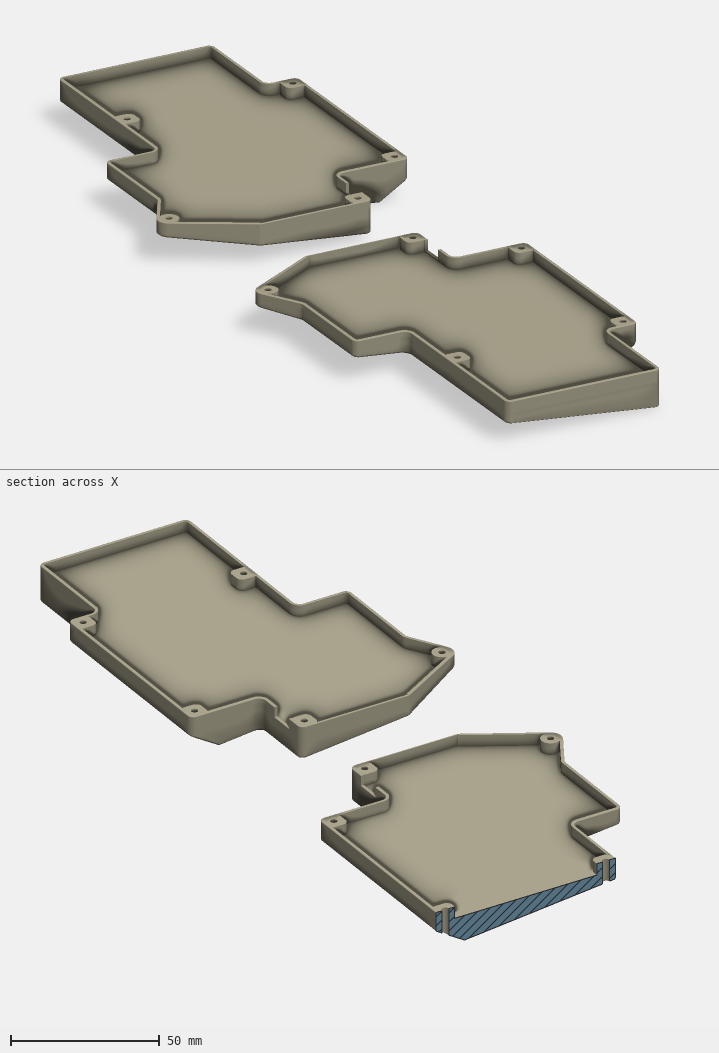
import cadquery as cq
import math

overall_length = 315.0
gap_between_trays = 31.0
tray_length = (overall_length - gap_between_trays) / 2
tray_depth = 99.73
tray_height = 14.08

rear_left = 38.1
rear_right = 116.8
front_step = 69.85
outer_rear_edge = tray_depth - 11.9
tab_rear_edge = tray_depth - 27.8
main_front_edge = tray_depth - 71.0
chin_front_edge = tray_depth - 91.2
tip_radius = 4.25
tip_x = 122.8
tip_y = tip_radius
chin_angle = math.radians(30)
flank_angle = math.radians(60)

wall = 1.2
tab_end_wall = 0.6
rim_depth = 4.4
convex_radius = 2.25
concave_radius = 2.75
rim_fillet = 0.25
bottom_fillet = 0.8

front_height = 5.3
rear_height = 7.3
keel_y = tray_depth - 11.3

end_relief = 0.2
rim_band_height = 4.5

screw_inset = 3.75
boss_width = 2 * screw_inset
boss_corner_radius = 2.25
tip_boss_radius = 3.5
screw_hole = 2.5

notch_start = 125.2
notch_end = tray_length - boss_width
notch_sill = 0.5

square_boss_points = [
    (rear_left + screw_inset, tray_depth - screw_inset),
    (rear_right - screw_inset, tray_depth - screw_inset),
    (tray_length - screw_inset, tab_rear_edge - screw_inset),
    (rear_left + screw_inset, main_front_edge + screw_inset),
]
tip_boss_point = (tip_x, tip_y)


def tip_point(angle):
    """Point on the round front tip at an angle from +X."""
    return (tip_x + tip_radius * math.cos(angle), tip_y + tip_radius * math.sin(angle))


tip_front = tip_point(-math.pi / 2)
chin_touch = tip_point(-math.pi / 2 - chin_angle)
flank_touch = tip_point(-math.pi / 2 + flank_angle)
chin_start_x = chin_touch[0] - (chin_front_edge - chin_touch[1]) / math.tan(chin_angle)
flank_top_y = flank_touch[1] + (tray_length - flank_touch[0]) * math.tan(flank_angle)

convex_corners = [
    (0, main_front_edge),
    (0, outer_rear_edge),
    (rear_left, tray_depth),
    (rear_right, tray_depth),
    (tray_length, tab_rear_edge),
    (tray_length, flank_top_y),
    (front_step, chin_front_edge),
]
concave_corners = [
    (rear_left, outer_rear_edge),
    (rear_right, tab_rear_edge),
    (chin_start_x, chin_front_edge),
    (front_step, main_front_edge),
]


def round_corners(block, corners, radius):
    for x, y in corners:
        corner = cq.NearestToPointSelector((x, y, tray_height / 2))
        block = block.edges(corner).fillet(radius)
    return block


def outline_block():
    """Full-height block with the rounded plan outline."""
    block = (
        cq.Workplane("XY")
        .moveTo(0, main_front_edge)
        .lineTo(0, outer_rear_edge)
        .lineTo(rear_left, outer_rear_edge)
        .lineTo(rear_left, tray_depth)
        .lineTo(rear_right, tray_depth)
        .lineTo(rear_right, tab_rear_edge)
        .lineTo(tray_length, tab_rear_edge)
        .lineTo(tray_length, flank_top_y)
        .lineTo(*flank_touch)
        .threePointArc(tip_front, chin_touch)
        .lineTo(chin_start_x, chin_front_edge)
        .lineTo(front_step, chin_front_edge)
        .lineTo(front_step, main_front_edge)
        .close()
        .extrude(tray_height)
    )
    block = round_corners(block, convex_corners, convex_radius)
    return round_corners(block, concave_corners, concave_radius)


def wedge():
    """Side profile with the sloped underside, running the length of the tray."""
    return (
        cq.Workplane("YZ")
        .moveTo(0, tray_height)
        .lineTo(0, tray_height - front_height)
        .lineTo(keel_y, 0)
        .lineTo(tray_depth, tray_height - rear_height)
        .lineTo(tray_depth, tray_height)
        .close()
        .extrude(tray_length)
    )


def bosses():
    square = (
        cq.Workplane("XY")
        .pushPoints(square_boss_points)
        .rect(boss_width, boss_width)
        .extrude(tray_height)
        .edges("|Z")
        .fillet(boss_corner_radius)
    )
    round_boss = cq.Workplane("XY").center(*tip_boss_point).circle(tip_boss_radius).extrude(tray_height)
    return square.union(round_boss)


def cavity(block):
    """Space inside the walls, above the floor and around the bosses."""
    space = (
        block.faces(">Z")
        .wires()
        .toPending()
        .workplane()
        .offset2D(-wall)
        .extrude(-rim_depth, combine=False)
    )
    tab_end_space = (
        cq.Workplane("XY")
        .box(wall - tab_end_wall, tab_rear_edge - wall - flank_top_y, rim_depth, centered=False)
        .translate((tray_length - wall, flank_top_y, tray_height - rim_depth))
    )
    return space.union(tab_end_space).cut(bosses())


def end_relief_cut():
    return cq.Workplane("XY").box(end_relief, tray_depth, tray_height - rim_band_height, centered=False)


def cable_notch():
    return (
        cq.Workplane("XY")
        .box(notch_end - notch_start, wall, rim_depth - notch_sill, centered=False)
        .translate((notch_start, tab_rear_edge - wall, tray_height - rim_depth + notch_sill))
    )


def screw_holes():
    return (
        cq.Workplane("XY")
        .pushPoints(square_boss_points + [tip_boss_point])
        .circle(screw_hole / 2)
        .extrude(tray_height)
    )


def round_underside(body):
    """Fillet the rim of both underside slopes, leaving the keel between them sharp."""
    slopes = body.faces().filter(lambda face: face.normalAt().z < 0)
    return slopes.edges("not <Z").fillet(bottom_fillet)


def left_tray():
    block = outline_block()
    body = block.intersect(wedge())
    body = round_underside(body)
    body = body.faces(">Z").edges().fillet(rim_fillet)
    body = body.cut(end_relief_cut()).cut(cavity(block)).cut(cable_notch()).cut(screw_holes())
    return body.translate((-overall_length / 2, 0, 0))


left = left_tray()
right = left.mirror("YZ")
result = cq.Compound.makeCompound([left.val(), right.val()])